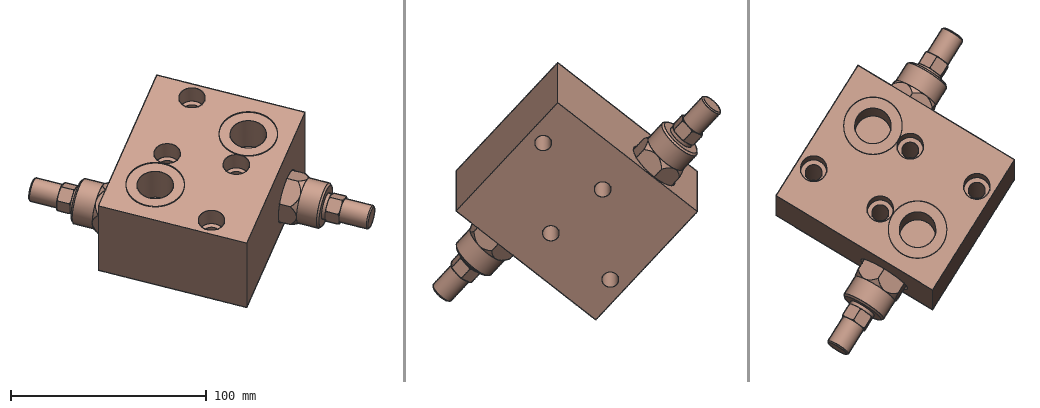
import cadquery as cq
import math

overall_length = 171.0
block_length = 80.0
block_width = 94.0
block_height = 50.0

cartridge_reach = (overall_length - block_length) / 2
cartridge_offset_y = 18.0
left_axis_height = 15.0
right_axis_height = 16.0

hex_end = 9.0
body_end = 20.9
neck_end = 22.7
nut_end = 30.1

hex_across_flats = 24.0
body_diameter = 24.0
body_chamfer = 1.0
neck_diameter = 14.0
nut_across_flats = 13.2
nut_corner_chamfer = 0.5
stem_diameter = 12.5
stem_chamfer = 0.7
bevel_angle = math.radians(30)

seat_diameter = 28.0
seat_depth = 5.1

port_x = 17.1
port_y = 24.0
port_bore_diameter = 18.6
port_bore_depth = 20.5
port_spotface_diameter = 30.0
port_spotface_depth = 0.5

mount_x = 18.0
mount_y_outer = 38.0
mount_spacing = 40.0
mount_hole_diameter = 8.5
mount_counterbore_diameter = 13.5
mount_counterbore_depth = 10.3


def round_length(diameter, start, end):
    """Cylinder about Z between two heights."""
    return cq.Workplane("XY").workplane(offset=start).circle(diameter / 2).extrude(end - start)


def hex_length(across_flats, start, end):
    """Hexagonal prism about Z with corners toward +X and -X."""
    across_corners = 2 * across_flats / math.sqrt(3)
    return cq.Workplane("XY").workplane(offset=start).polygon(6, across_corners).extrude(end - start)


def corner_bevel(across_flats, start, end):
    """Cylinder around a hexagon, beveled at its end down to the flats to cut back the corners."""
    corner_radius = across_flats / math.sqrt(3)
    radial_cut = corner_radius - across_flats / 2
    axial_cut = radial_cut / math.tan(bevel_angle)
    return round_length(2 * corner_radius, start, end).faces(">Z").chamfer(axial_cut, radial_cut)


def make_cartridge():
    """Cartridge along +Z with the block face at Z = 0; its hexagon starts at the seat floor."""
    hexagon = hex_length(hex_across_flats, -seat_depth, hex_end)
    hexagon = hexagon.intersect(corner_bevel(hex_across_flats, -seat_depth, hex_end))
    body = round_length(body_diameter, hex_end, body_end).faces(">Z").chamfer(body_chamfer)
    neck = round_length(neck_diameter, body_end, neck_end)
    nut = hex_length(nut_across_flats, neck_end, nut_end)
    nut_envelope = round_length(2 * nut_across_flats / math.sqrt(3), neck_end, nut_end)
    nut = nut.intersect(nut_envelope.faces("<Z or >Z").chamfer(nut_corner_chamfer))
    stem = round_length(stem_diameter, nut_end, cartridge_reach).faces(">Z").chamfer(stem_chamfer)
    return hexagon.union(body).union(neck).union(nut).union(stem)


def place_on_end(shape, side, axis_height):
    """Turn a shape built along +Z outward on the left (-1) or right (+1) end of the block."""
    position = (side * block_length / 2, side * cartridge_offset_y, axis_height)
    return shape.rotate((0, 0, 0), (0, 1, 0), side * 90).translate(position)


def top_face(block):
    """Work plane on the top of the block, centered over the origin."""
    return block.faces(">Z").workplane(origin=(0, 0, 0))


block = cq.Workplane("XY").box(block_length, block_width, block_height, centered=(True, True, False))

port_points = []
mount_points = []
for side in (-1, 1):
    port_points.append((side * port_x, side * port_y))
    mount_points.append((side * mount_x, -side * mount_y_outer))
    mount_points.append((side * mount_x, side * (mount_spacing - mount_y_outer)))

block = top_face(block).pushPoints(port_points).cboreHole(
    port_bore_diameter, port_spotface_diameter, port_spotface_depth, port_bore_depth)
block = top_face(block).pushPoints(mount_points).cboreHole(
    mount_hole_diameter, mount_counterbore_diameter, mount_counterbore_depth)

cartridge = make_cartridge()
seat = round_length(seat_diameter, -seat_depth, 0)
for side, axis_height in ((-1, left_axis_height), (1, right_axis_height)):
    block = block.cut(place_on_end(seat, side, axis_height))
    block = block.union(place_on_end(cartridge, side, axis_height))

result = block